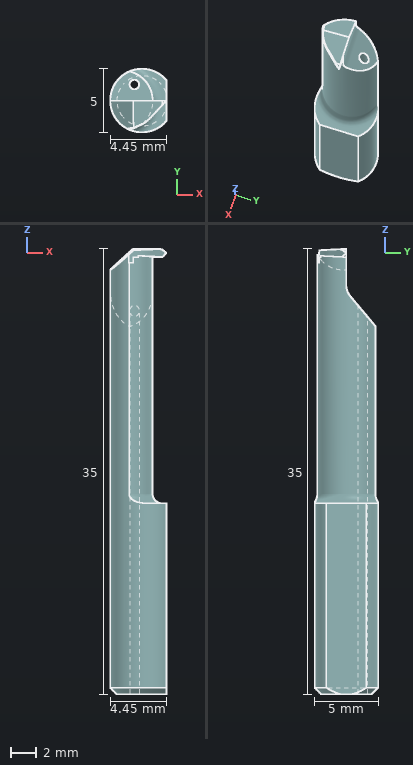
import cadquery as cq
import math

LENGTH = 35.0
SHANK_DIAMETER = 5.0
SHANK_RADIUS = SHANK_DIAMETER / 2
WIDTH_OVER_FLAT = 4.45
FLAT_X = WIDTH_OVER_FLAT - SHANK_RADIUS
END_CHAMFER = 0.52

NECK_RADIUS = 2.35
NECK_CENTER_X = -1.5
SHOULDER_Z = 15.0
SHOULDER_FILLET = 0.75

HOLE_DIAMETER = 0.75
HOLE_CENTER = (-0.6, 1.25)

CHIP_CORNER_Z = 31.65
CHIP_SLOPE_DEG = 50.0
CHIP_FILLET = 1.33

RELIEF_DEG = 3.0
BACK_SLOPE_X = -0.7
BACK_SLOPE_DEG = 42.5
TOOTH_TIP_X = 1.92
TOOTH_SHOULDER_X = 1.6
TOOTH_BEVEL_START_X = 1.35
TOOTH_BEVEL_DROP = 0.07
TOOTH_HEIGHT = 0.65

CLEARANCE_FLANK_END = (0.63, -1.4)
CLEARANCE_ARC_MID = (0.05, -1.85)
CLEARANCE_ARC_END = (-1.05, -2.17)
CLEARANCE_NOTCH_X = -0.65
CLEARANCE_NOTCH_DEPTH = 1.12
TOOTH_ROOT_X = CLEARANCE_NOTCH_X

REACH = 3 * SHANK_RADIUS


def make_shank():
    bar = cq.Workplane("XY").circle(SHANK_RADIUS).extrude(LENGTH)
    bar = bar.faces("<Z").chamfer(END_CHAMFER)
    beyond_flat = cq.Workplane("XY").box(REACH, REACH, LENGTH, centered=(False, True, False))
    return bar.cut(beyond_flat.translate((FLAT_X, 0, 0)))


def make_neck_cutter():
    """Ring that leaves the neck standing, with a rounded inner corner at the shoulder."""
    blend_x = NECK_RADIUS + SHOULDER_FILLET
    blend_z = SHOULDER_Z + SHOULDER_FILLET
    bulge = SHOULDER_FILLET * math.sqrt(0.5)
    ring = (
        cq.Workplane("XZ")
        .moveTo(NECK_RADIUS, LENGTH)
        .lineTo(NECK_RADIUS, blend_z)
        .threePointArc((blend_x - bulge, blend_z - bulge), (blend_x, SHOULDER_Z))
        .lineTo(REACH, SHOULDER_Z)
        .lineTo(REACH, LENGTH)
        .close()
        .revolve(360, (0, 0, 0), (0, 1, 0))
    )
    return ring.translate((NECK_CENTER_X, 0, 0))


def make_chip_space():
    """Everything above the slope on the +Y side of the rake face."""
    drop = REACH * math.tan(math.radians(CHIP_SLOPE_DEG))
    top = LENGTH + 0.35
    outline = [(0, top), (0, CHIP_CORNER_Z), (REACH, CHIP_CORNER_Z - drop), (REACH, top)]
    block = cq.Workplane("YZ").polyline(outline).close().extrude(REACH, both=True)
    return block.edges(cq.selectors.NearestToPointSelector((0, 0, CHIP_CORNER_Z))).fillet(CHIP_FILLET)


def extrude_with_relief(outline):
    """Extrude an XZ outline from the rake face towards -Y, narrowing by the relief angle."""
    return cq.Workplane("XZ").polyline(outline).close().extrude(SHANK_RADIUS, taper=RELIEF_DEG)


def make_head_envelope():
    """Upper limit of the head: back slope and relieved top face."""
    drop = (BACK_SLOPE_X + REACH) * math.tan(math.radians(BACK_SLOPE_DEG))
    base_z = LENGTH - drop - REACH
    outline = [
        (-REACH, base_z),
        (-REACH, LENGTH - drop),
        (BACK_SLOPE_X, LENGTH),
        (REACH, LENGTH),
        (REACH, base_z),
    ]
    return extrude_with_relief(outline)


def make_tooth():
    """Pointed tooth with a shallow bevel leading to its upper shoulder."""
    underside_z = LENGTH - TOOTH_HEIGHT
    return extrude_with_relief([
        (TOOTH_ROOT_X, LENGTH),
        (TOOTH_BEVEL_START_X, LENGTH),
        (TOOTH_SHOULDER_X, LENGTH - TOOTH_BEVEL_DROP),
        (TOOTH_TIP_X, LENGTH - TOOTH_HEIGHT / 2),
        (TOOTH_SHOULDER_X, underside_z),
        (TOOTH_ROOT_X, underside_z),
    ])


def make_clearance():
    """Region outside the clearance outline, from the seat of the head upwards."""
    outside = (
        cq.Workplane("XY")
        .moveTo(TOOTH_TIP_X, 0)
        .lineTo(*CLEARANCE_FLANK_END)
        .threePointArc(CLEARANCE_ARC_MID, CLEARANCE_ARC_END)
        .lineTo(CLEARANCE_ARC_END[0], -REACH)
        .lineTo(REACH, -REACH)
        .lineTo(REACH, 0)
        .close()
        .extrude(LENGTH)
    )
    seat = cq.Workplane("XY").box(REACH, 2 * REACH, TOOTH_HEIGHT, centered=(False, True, False))
    seat = seat.translate((CLEARANCE_NOTCH_X, 0, LENGTH - TOOTH_HEIGHT))
    notch = cq.Workplane("XY").box(REACH, 2 * REACH, CLEARANCE_NOTCH_DEPTH, centered=(False, True, False))
    notch = notch.translate((CLEARANCE_NOTCH_X - REACH, 0, LENGTH - CLEARANCE_NOTCH_DEPTH))
    return outside.intersect(seat.union(notch))


def make_above_head():
    """Material above the head envelope on the -Y side."""
    upper = cq.Workplane("XY").box(2 * REACH, SHANK_RADIUS, REACH / 2, centered=(True, False, False))
    upper = upper.translate((0, -SHANK_RADIUS, LENGTH - REACH / 2))
    return upper.cut(make_head_envelope())


clearance = make_clearance()
body = make_shank().cut(make_neck_cutter()).cut(make_chip_space())
body = body.cut(make_above_head()).cut(clearance)
body = body.union(make_tooth().cut(clearance))

coolant_hole = cq.Workplane("XY").center(*HOLE_CENTER).circle(HOLE_DIAMETER / 2).extrude(LENGTH)
result = body.cut(coolant_hole)